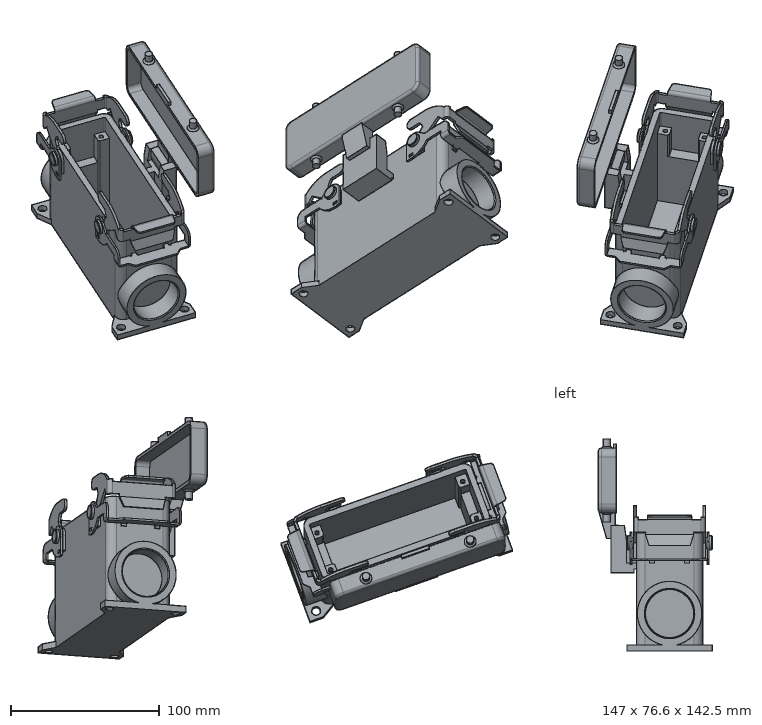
import cadquery as cq
import math


body_half_x = 60.0
body_half_y = 22.3
body_height = 79.5
body_corner_radius = 5.9
cavity_half_x = 55.8
cavity_half_y = 18.1
cavity_corner_radius = 0.9
left_ledge_x = -49.4
ledge_top = 47.0
post_length = 7.6
post_width = 8.1
post_chamfer = 1.2
post_top = 66.9
post_hole_x = 52.0
post_hole_y = 13.5
post_hole_diameter = 3.0
post_hole_depth = 11.8

flange_thickness = 4.3
flange_half_x = 72.3
flange_half_y = 28.7
flange_inner_x = 52.8
flange_taper_x = 62.9
flange_hole_x = 66.0
flange_hole_y = 23.2
flange_hole_diameter = 5.9

gland_radius = 21.6
gland_center_z = 25.3
gland_root_x = 52.9
bore_radius = 16.2
bore_depth = 14.4
bore_chamfer = 0.7

lid_half_x = 60.7
lid_bottom = 92.9
lid_top = 136.2
lid_front_y = 35.7
lid_back_y = 47.9
lid_wall = 2.4
lid_corner_radius = 5.9
lid_back_fillet = 2.0
peg_x = 37.2
peg_y = 42.0
peg_radius = 2.5
peg_length = 6.3
peg_base_radius = 4.0
peg_base_height = 1.2
tab_half_x = 9.8
tab_height = 3.0
tab_thickness = 2.0

arm_half_x = 9.1
arm_front_y = 36.5
arm_back_top_y = 47.3
arm_heel_y = 42.3
arm_bottom = 75.5
arm_shoulder_z = 85.0
arm_nose_y = 31.3
arm_nose_top = 83.8
arm_nose_bottom = 78.3
arm_web_y = 32.0
bracket_half_x = 15.1
bracket_top = 84.4
bracket_bottom = 52.6
bracket_back_y = 39.4
bracket_top_y = 30.3
bracket_front_y = 28.8
bracket_foot_y = 23.8
bracket_foot_z = 55.1
bracket_arch_z = 59.1
web_top = 74.2
rib_half_x = 2.6

pivot_x = -37.8
pivot_z = 72.8
lever_inner_y = body_half_y
lever_thickness = 1.8
lever_outer_y = lever_inner_y + lever_thickness
lever_end_x = -65.7
lever_bend_radius = 3.0
lever_hook_top = 97.7
lever_hook_bottom = 89.5
lever_foot_radius = 5.6
lever_foot_bottom = 62.3
lever_wall_bottom = 80.0
lever_wall_top = 88.3
lever_cheek_top = 90.0
lever_cheek_half_y = 21.0
sheet_overlap = 1.5
grip_thickness = 1.3
grip_end_x = -73.5
grip_top = 91.3
grip_bend_radius = 2.5
grip_half_y = 15.0
grip_shoulder_x = -72.2
grip_shoulder_half_y = 13.7
grip_tip_half_y = 12.3
lip_top = 78.2
lip_bottom = 71.0
lip_overhang = 2.6
lip_top_half_y = 16.2
lip_bottom_half_y = 13.8
bail_outer_y = 26.5
bail_thickness = 1.3
bail_inner_y = bail_outer_y - bail_thickness
bail_end_x = -68.6
bail_leg_x = -61.7
bail_waist_x = -63.6
bail_waist_half_y = 9.7
bail_tip_x = -72.5
bail_tip_half_y = 15.3
bail_shoulder_half_y = 19.1
bail_arm_top = 73.8
bail_arm_bottom = 66.5
bail_foot_x = -30.5
bail_bottom = 60.7
bail_bend_radius = 2.4
bail_slot_x = -34.5
bail_slot_z = 61.7
bail_slot_length = 3.2
bail_slot_height = 1.9
bail_tab_center_y = 11.8
bail_tab_width = 3.5
bail_tab_length = 1.3
bail_tab_drop = 1.6
rivet_head_radius = 4.9
rivet_head_chamfer = 0.6
rivet_spacer_radius = 3.7
rivet_end_y = 28.7


def box(x_range, y_range, z_range):
    """Axis-aligned block given by its limits along X, Y and Z."""
    sizes = [limits[1] - limits[0] for limits in (x_range, y_range, z_range)]
    corner = (x_range[0], y_range[0], z_range[0])
    return cq.Workplane("XY").box(*sizes, centered=False).translate(corner)


def y_plate(outline, y_from, y_to):
    """Extrude a closed outline drawn in XZ between two Y positions."""
    return outline.extrude(y_from - y_to).translate((0, y_from, 0))


def x_bar(points, half_width):
    """Extrude a closed YZ polygon symmetrically about X = 0."""
    return cq.Workplane("YZ").polyline(points).close().extrude(half_width, both=True)


def both_x(shape):
    return shape.union(shape.mirror("YZ"))


def both_y(shape):
    return shape.union(shape.mirror("XZ"))


def housing():
    shell = (
        cq.Workplane("XY")
        .rect(2 * body_half_x, 2 * body_half_y)
        .extrude(body_height)
        .edges("|Z")
        .fillet(body_corner_radius)
    )
    cavity = (
        cq.Workplane("XY", origin=(0, 0, flange_thickness))
        .rect(2 * cavity_half_x, 2 * cavity_half_y)
        .extrude(body_height)
        .edges("|Z")
        .fillet(cavity_corner_radius)
    )
    shell = shell.cut(cavity)

    wall_x = cavity_half_x + cavity_corner_radius
    wall_y = cavity_half_y + cavity_corner_radius
    right_ledge_x = cavity_half_x - post_length
    z_ledge = (flange_thickness, ledge_top)
    left_ledge = box((-wall_x, left_ledge_x), (-wall_y, wall_y), z_ledge)
    right_ledge = box((right_ledge_x, wall_x), (-wall_y, wall_y), z_ledge)

    x_post = (-wall_x, post_length - cavity_half_x)
    y_post = (-wall_y, post_width - cavity_half_y)
    post = box(x_post, y_post, (flange_thickness, post_top))
    post = post.edges("|Z and >X and >Y").chamfer(post_chamfer)
    hole = (
        cq.Workplane("XY", origin=(-post_hole_x, -post_hole_y, post_top - post_hole_depth))
        .circle(post_hole_diameter / 2)
        .extrude(post_hole_depth)
    )
    posts = both_x(both_y(post))
    return shell.union(left_ledge).union(right_ledge).union(posts).cut(both_x(both_y(hole)))


def mounting_flange():
    outline = [
        (-flange_half_x, -flange_half_y),
        (-flange_taper_x, -flange_half_y),
        (-flange_inner_x, -body_half_y),
        (-flange_inner_x, body_half_y),
        (-flange_taper_x, flange_half_y),
        (-flange_half_x, flange_half_y),
    ]
    hole_places = [(-flange_hole_x, -flange_hole_y), (-flange_hole_x, flange_hole_y)]
    plate = cq.Workplane("XY").polyline(outline).close().extrude(flange_thickness)
    holes = cq.Workplane("XY").pushPoints(hole_places).circle(flange_hole_diameter / 2)
    return plate.cut(holes.extrude(flange_thickness))


def gland_collar():
    face = cq.Workplane("YZ", origin=(-flange_half_x, 0, gland_center_z))
    return face.circle(gland_radius).extrude(flange_half_x - gland_root_x)


def gland_bore():
    face = cq.Workplane("YZ", origin=(-flange_half_x, 0, gland_center_z))
    mouth = cq.Solid.makeCone(
        bore_radius + bore_chamfer,
        bore_radius,
        bore_chamfer,
        cq.Vector(-flange_half_x, 0, gland_center_z),
        cq.Vector(1, 0, 0),
    )
    return face.circle(bore_radius).extrude(bore_depth).union(cq.Workplane(mouth))


def lid_peg():
    """Latch peg on a conical base, standing on the lid's top side."""
    base = cq.Solid.makeCone(
        peg_base_radius,
        peg_radius,
        peg_base_height,
        cq.Vector(-peg_x, peg_y, lid_top),
        cq.Vector(0, 0, 1),
    )
    pin = cq.Workplane("XY", origin=(-peg_x, peg_y, lid_top)).circle(peg_radius).extrude(peg_length)
    return pin.union(cq.Workplane(base))


def lid():
    lid_middle_z = (lid_bottom + lid_top) / 2
    cover = (
        box((-lid_half_x, lid_half_x), (lid_front_y, lid_back_y), (lid_bottom, lid_top))
        .edges("|Y")
        .fillet(lid_corner_radius)
        .faces(">Y")
        .edges()
        .fillet(lid_back_fillet)
    )
    recess = box(
        (lid_wall - lid_half_x, lid_half_x - lid_wall),
        (lid_front_y, lid_back_y - lid_wall),
        (lid_bottom + lid_wall, lid_top - lid_wall),
    )
    cover = cover.cut(recess.edges("|Y").fillet(lid_corner_radius - lid_wall))

    top_pegs = both_x(lid_peg())
    bottom_pegs = top_pegs.mirror("XY", (0, 0, lid_middle_z))
    tab = box(
        (-tab_half_x, tab_half_x),
        (lid_front_y, lid_front_y + tab_thickness),
        (lid_top - lid_wall, lid_top + tab_height),
    )
    return cover.union(top_pegs).union(bottom_pegs).union(tab)


def hinge():
    arm = x_bar(
        [
            (arm_front_y, lid_bottom + lid_wall),
            (arm_front_y, arm_shoulder_z),
            (arm_nose_y, arm_nose_top),
            (arm_nose_y, arm_nose_bottom),
            (arm_web_y, web_top),
            (bracket_back_y, web_top),
            (bracket_back_y, arm_bottom),
            (arm_heel_y, arm_bottom),
            (arm_back_top_y, lid_bottom),
            (arm_back_top_y, lid_bottom + lid_wall),
        ],
        arm_half_x,
    )
    bracket = x_bar(
        [
            (bracket_back_y, bracket_bottom),
            (bracket_back_y, bracket_top),
            (bracket_top_y, bracket_top),
            (bracket_front_y, web_top),
            (bracket_front_y, bracket_arch_z),
            (body_half_y, bracket_arch_z),
            (body_half_y, bracket_foot_z),
            (bracket_foot_y, bracket_foot_z),
            (bracket_foot_y, bracket_bottom),
        ],
        bracket_half_x,
    )
    arm_gap = box(
        (-arm_half_x, arm_half_x),
        (bracket_front_y, bracket_back_y),
        (web_top, bracket_top),
    )
    rib = box((-rib_half_x, rib_half_x), (body_half_y, bracket_front_y), (bracket_arch_z, web_top))
    return bracket.cut(arm_gap).union(rib).union(arm)


def lever():
    """Hooked U-shaped lever with a finger grip, hugging the housing."""
    cheeks = (
        cq.Workplane("XZ")
        .moveTo(lever_end_x, lever_wall_bottom)
        .lineTo(lever_end_x, lever_cheek_top)
        .lineTo(lever_end_x + lever_bend_radius, lever_cheek_top)
        .threePointArc((-55.0, 95.4), (-46.0, lever_hook_top))
        .lineTo(-32.9, lever_hook_top)
        .threePointArc((-28.8, 93.5), (-32.9, lever_hook_bottom))
        .lineTo(-40.1, lever_hook_bottom)
        .threePointArc((-41.7, 87.3), (-42.9, 84.2))
        .lineTo(-40.4, 80.8)
        .lineTo(pivot_x, pivot_z)
        .lineTo(pivot_x - lever_foot_radius, pivot_z)
        .lineTo(-57.5, 84.4)
        .lineTo(-60.8, lever_wall_bottom)
        .close()
    )
    silhouette = y_plate(cheeks, -lever_outer_y, lever_outer_y)
    foot_hub = (
        cq.Workplane("XZ", origin=(pivot_x, lever_outer_y, pivot_z))
        .circle(lever_foot_radius)
        .extrude(2 * lever_outer_y)
    )
    foot = box(
        (pivot_x - lever_foot_radius, pivot_x + lever_foot_radius),
        (-lever_outer_y, lever_outer_y),
        (lever_foot_bottom, pivot_z),
    )
    silhouette = silhouette.union(foot_hub).union(foot)

    z_range = (lever_foot_bottom, lever_hook_top + sheet_overlap)
    sheet = box((lever_end_x, 0), (-lever_outer_y, lever_outer_y), z_range)
    sheet = sheet.edges("|Z and <X").fillet(lever_bend_radius)
    inside = box((lever_end_x + lever_thickness, 0), (-lever_inner_y, lever_inner_y), z_range)
    inside = inside.edges("|Z and <X").fillet(lever_bend_radius - lever_thickness)
    relief = box(
        (lever_end_x, lever_end_x + lever_bend_radius),
        (-lever_cheek_half_y, lever_cheek_half_y),
        (lever_wall_top, lever_cheek_top),
    )
    return silhouette.intersect(sheet.cut(inside)).cut(relief).union(finger_grip()).union(lip())


def finger_grip():
    inner_x = lever_end_x + lever_thickness
    bend_x = inner_x - grip_bend_radius
    bend_z = grip_top - grip_bend_radius
    inner_radius = grip_bend_radius - grip_thickness
    diagonal = math.sqrt(0.5)
    section = (
        cq.Workplane("XZ")
        .moveTo(grip_end_x, grip_top)
        .lineTo(bend_x, grip_top)
        .threePointArc(
            (bend_x + diagonal * grip_bend_radius, bend_z + diagonal * grip_bend_radius),
            (inner_x, bend_z),
        )
        .lineTo(inner_x, lever_wall_top - sheet_overlap)
        .lineTo(inner_x - grip_thickness, lever_wall_top - sheet_overlap)
        .lineTo(inner_x - grip_thickness, bend_z)
        .threePointArc(
            (bend_x + diagonal * inner_radius, bend_z + diagonal * inner_radius),
            (bend_x, bend_z + inner_radius),
        )
        .lineTo(grip_end_x, bend_z + inner_radius)
        .close()
    )
    plan = [
        (grip_end_x, -grip_tip_half_y),
        (grip_shoulder_x, -grip_shoulder_half_y),
        (inner_x, -grip_half_y),
        (inner_x, grip_half_y),
        (grip_shoulder_x, grip_shoulder_half_y),
        (grip_end_x, grip_tip_half_y),
    ]
    footprint = cq.Workplane("XY").polyline(plan).close().extrude(grip_top)
    return y_plate(section, -grip_half_y, grip_half_y).intersect(footprint)


def lip():
    """Sloping tongue below the lever's end wall."""
    root_x = lever_end_x + lever_thickness
    tip_x = root_x - lip_overhang
    section = (
        cq.Workplane("XZ")
        .polyline(
            [
                (root_x, lever_wall_bottom + sheet_overlap),
                (root_x, lip_top),
                (tip_x, lip_bottom),
                (tip_x - lever_thickness, lip_bottom),
                (root_x - lever_thickness, lip_top),
                (root_x - lever_thickness, lever_wall_bottom + sheet_overlap),
            ]
        )
        .close()
    )
    front = [
        (-lip_top_half_y, lever_wall_bottom + sheet_overlap),
        (-lip_top_half_y, lip_top),
        (-lip_bottom_half_y, lip_bottom),
        (lip_bottom_half_y, lip_bottom),
        (lip_top_half_y, lip_top),
        (lip_top_half_y, lever_wall_bottom + sheet_overlap),
    ]
    trapezoid = cq.Workplane("YZ").polyline(front).close().extrude(grip_end_x)
    return y_plate(section, -lip_top_half_y, lip_top_half_y).intersect(trapezoid)


def bail():
    """Bail outside the lever: two side plates joined by a flat strip."""
    outline = (
        cq.Workplane("XZ")
        .moveTo(bail_end_x, bail_bottom)
        .lineTo(bail_end_x, 68.2)
        .threePointArc((-67.0, 72.2), (-63.0, bail_arm_top))
        .lineTo(-47.0, bail_arm_top)
        .lineTo(-40.7, 79.2)
        .threePointArc((-34.4, 79.0), (bail_foot_x, 74.2))
        .lineTo(bail_foot_x, 58.6)
        .threePointArc((-40.0, 59.2), (-49.0, bail_arm_bottom))
        .lineTo(bail_leg_x, bail_arm_bottom)
        .lineTo(bail_leg_x, bail_bottom)
        .close()
    )
    side = y_plate(outline, -bail_outer_y, -bail_inner_y)
    slot = box(
        (bail_slot_x - bail_slot_length / 2, bail_slot_x + bail_slot_length / 2),
        (-bail_outer_y, -bail_inner_y),
        (bail_slot_z - bail_slot_height / 2, bail_slot_z + bail_slot_height / 2),
    )
    half_strip = (
        cq.Workplane("XY", origin=(0, 0, bail_bottom))
        .polyline(
            [
                (bail_waist_x, 0),
                (bail_waist_x, -bail_waist_half_y),
                (bail_leg_x, -bail_waist_half_y),
                (bail_leg_x, -13.8),
                (-62.6, -14.5),
                (bail_leg_x, -15.3),
                (bail_leg_x, -bail_outer_y),
                (bail_end_x, -bail_outer_y),
                (bail_end_x, -bail_shoulder_half_y),
                (bail_tip_x, -bail_tip_half_y),
                (bail_tip_x, 0),
            ]
        )
        .close()
        .extrude(bail_thickness)
    )
    tab = box(
        (bail_leg_x, bail_leg_x + bail_tab_length),
        (-bail_tab_center_y - bail_tab_width / 2, -bail_tab_center_y + bail_tab_width / 2),
        (bail_bottom - bail_tab_drop, bail_bottom + bail_thickness),
    )
    half = side.cut(slot).union(half_strip)
    return both_y(half.cut(bend_waste()).union(tab))


def bend_waste():
    """Corner material outside the rounded bend where a bail side plate meets the strip."""
    bend_y = bail_bend_radius - bail_outer_y
    bend_z = bail_bottom + bail_bend_radius
    corner = box((bail_end_x, bail_leg_x), (-bail_outer_y, bend_y), (bail_bottom, bend_z))
    bend = cq.Workplane("YZ", origin=(bail_end_x, bend_y, bend_z)).circle(bail_bend_radius)
    return corner.cut(bend.extrude(bail_leg_x - bail_end_x))


def rivet():
    """Pivot of one latch side: spacer through the plates and a chamfered head."""
    spacer = (
        cq.Workplane("XZ", origin=(pivot_x, -body_half_y, pivot_z))
        .circle(rivet_spacer_radius)
        .extrude(bail_outer_y - body_half_y)
    )
    head = (
        cq.Workplane("XZ", origin=(pivot_x, -bail_outer_y, pivot_z))
        .circle(rivet_head_radius)
        .extrude(rivet_end_y - bail_outer_y)
        .faces("<Y")
        .edges()
        .chamfer(rivet_head_chamfer)
    )
    return spacer.union(head)


def latch():
    return lever().union(bail()).union(both_y(rivet()))


result = (
    housing()
    .union(both_x(mounting_flange().union(gland_collar())))
    .cut(both_x(gland_bore()))
    .union(hinge())
    .union(lid())
    .union(both_x(latch()))
)